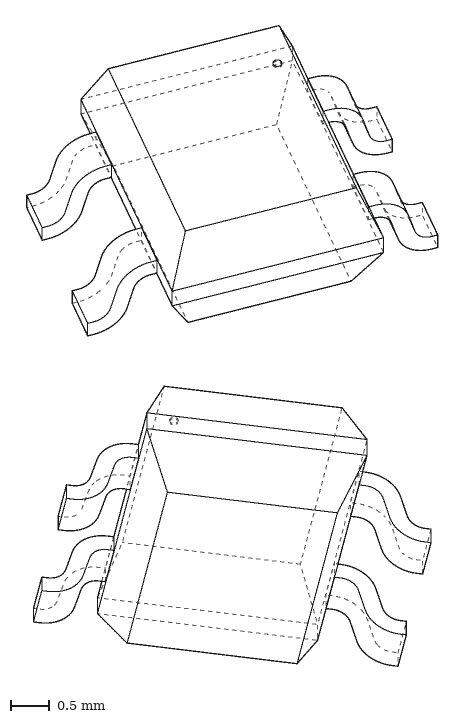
import cadquery as cq
import math

HOUSING_X = 3.61
HOUSING_Y = 2.9
STANDOFF = 0.075
TAPER_HEIGHT = 0.765
BAND_HEIGHT = 0.28
TOP_INSET = 0.28
BOTTOM_INSET = 0.33
BAND_BOTTOM = STANDOFF + TAPER_HEIGHT
BAND_TOP = BAND_BOTTOM + BAND_HEIGHT
HOUSING_TOP = BAND_TOP + TAPER_HEIGHT

SPAN = 4.8
LEAD_PITCH = 1.8
LEAD_WIDTH = 0.615
LEAD_THICKNESS = 0.24
INNER_RADIUS = 0.24
BEND_ANGLE = math.radians(75)
SHOULDER_LENGTH = 0.085
OUTER_RADIUS = INNER_RADIUS + LEAD_THICKNESS
LEAD_TOP = (BAND_BOTTOM + BAND_TOP + LEAD_THICKNESS) / 2

MARKER_DIAMETER = 0.115
MARKER_DEPTH = 0.025
MARKER_X = -LEAD_PITCH / 2
MARKER_Y = 0.93


def tapered_half(start_z, end_z, inset):
    """Loft from the full band outline to an outline inset on every side."""
    return (
        cq.Workplane("XY", origin=(0, 0, start_z))
        .rect(HOUSING_X, HOUSING_Y)
        .workplane(offset=end_z - start_z)
        .rect(HOUSING_X - 2 * inset, HOUSING_Y - 2 * inset)
        .loft(ruled=True)
    )


def make_marker():
    return (
        cq.Workplane("XY", origin=(MARKER_X, MARKER_Y, HOUSING_TOP - MARKER_DEPTH))
        .circle(MARKER_DIAMETER / 2)
        .extrude(MARKER_DEPTH)
    )


def make_housing(marker):
    band = (
        cq.Workplane("XY", origin=(0, 0, BAND_BOTTOM))
        .rect(HOUSING_X, HOUSING_Y)
        .extrude(BAND_HEIGHT)
    )
    upper = tapered_half(BAND_TOP, HOUSING_TOP, TOP_INSET)
    lower = tapered_half(BAND_BOTTOM, STANDOFF, BOTTOM_INSET)
    return band.union(upper).union(lower).cut(marker)


def on_arc(center, radius, angle):
    """Point on a circle in the YZ plane, at an angle from +Z towards +Y."""
    return (center[0] + radius * math.sin(angle), center[1] + radius * math.cos(angle))


def make_lead(x, side):
    """Lead centred on x, pointing to +Y for side = 1 and to -Y for side = -1."""
    root_y = HOUSING_Y / 2
    tip_y = SPAN / 2

    upper_center = (root_y + SHOULDER_LENGTH, LEAD_TOP - OUTER_RADIUS)
    lower_center_z = OUTER_RADIUS
    radius_sum = OUTER_RADIUS + INNER_RADIUS
    leg_drop = upper_center[1] - lower_center_z + radius_sum * math.cos(BEND_ANGLE)
    leg_run = leg_drop / math.tan(BEND_ANGLE)
    lower_center = (upper_center[0] + radius_sum * math.sin(BEND_ANGLE) + leg_run, lower_center_z)

    low_end = math.pi + BEND_ANGLE
    low_mid = math.pi + BEND_ANGLE / 2
    profile = (
        cq.Workplane("YZ", origin=(-LEAD_WIDTH / 2, 0, 0))
        .moveTo(root_y, LEAD_TOP)
        .lineTo(*on_arc(upper_center, OUTER_RADIUS, 0))
        .threePointArc(
            on_arc(upper_center, OUTER_RADIUS, BEND_ANGLE / 2),
            on_arc(upper_center, OUTER_RADIUS, BEND_ANGLE),
        )
        .lineTo(*on_arc(lower_center, INNER_RADIUS, low_end))
        .threePointArc(
            on_arc(lower_center, INNER_RADIUS, low_mid),
            on_arc(lower_center, INNER_RADIUS, math.pi),
        )
        .lineTo(tip_y, LEAD_THICKNESS)
        .lineTo(tip_y, 0)
        .lineTo(*on_arc(lower_center, OUTER_RADIUS, math.pi))
        .threePointArc(
            on_arc(lower_center, OUTER_RADIUS, low_mid),
            on_arc(lower_center, OUTER_RADIUS, low_end),
        )
        .lineTo(*on_arc(upper_center, INNER_RADIUS, BEND_ANGLE))
        .threePointArc(
            on_arc(upper_center, INNER_RADIUS, BEND_ANGLE / 2),
            on_arc(upper_center, INNER_RADIUS, 0),
        )
        .lineTo(root_y, LEAD_TOP - LEAD_THICKNESS)
        .close()
    )
    lead = profile.extrude(LEAD_WIDTH)
    if side < 0:
        lead = lead.mirror("XZ")
    return lead.translate((x, 0, 0))


marker = make_marker()
housing = make_housing(marker)
leads = [make_lead(x, side) for x in (-LEAD_PITCH / 2, LEAD_PITCH / 2) for side in (-1, 1)]

result = cq.Compound.makeCompound([housing.val(), marker.val(), *[lead.val() for lead in leads]])